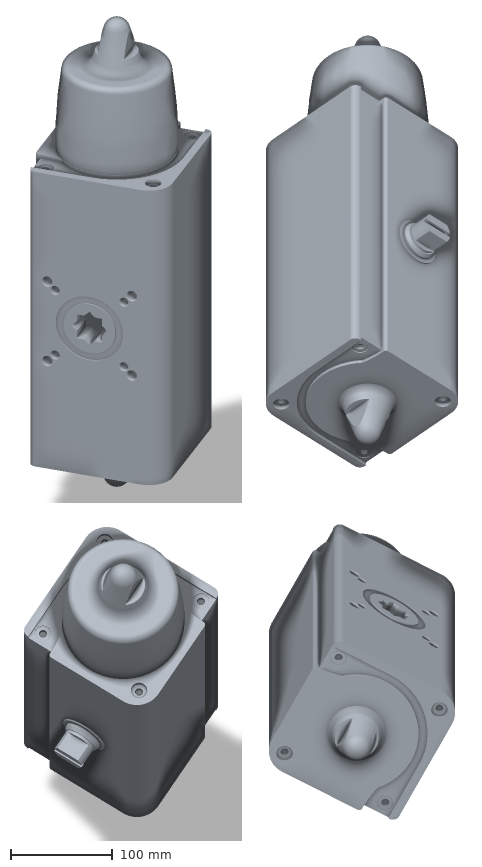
import cadquery as cq
import math


block_half_height = 163.5
near_side = 70.0
far_side = 78.0
large_corner_radius = 25.0
small_corner_radius = 7.5
step_depth = 6.0
step_start = 42.0
step_edge_radius = 3.0
step_face = near_side - step_depth

pocket_depth = 3.5
pocket_reach = 69.5
plinth_radius = 61.0
pocket_bend_x = 52.0
pocket_bend_y = 43.0
plinth_meet_x = 40.5
plinth_meet_y = math.sqrt(plinth_radius**2 - plinth_meet_x**2)

dome_base_radius = 60.5
dome_middle_radius = 59.0
dome_shoulder_radius = 54.5
dome_height = 92.0
dome_edge_height = 6.0
dome_flat_radius = 48.0
dome_top = block_half_height + dome_height

knob_height = 51.0
flare_height = 8.0
cone_base_radius = 24.0
cone_tip_radius = 12.5
cone_tip_height = 42.0
flat_start_height = 15.0
flat_half_width = 13.5
top_knob_base = dome_top
bottom_knob_base = -162.0

block_center = (far_side - near_side) / 2
screw_half_pitch = 56.0
screw_recess_diameter = 16.0
screw_recess_depth = 4.5
screw_socket_diameter = 8.0
screw_socket_depth = 5.0

outer_hole_diameter = 10.0
outer_hole_offset = 44.0
inner_hole_diameter = 8.5
inner_hole_offset = 36.0
mounting_hole_depth = 15.5
mounting_hole_chamfer = 0.8

shaft_diameter = 54.0
shaft_recess_diameter = 70.0
shaft_recess_depth = 1.5
collar_diameter = 48.0
collar_height = 1.5
rear_wall = 15.5
boss_diameter = 39.0
boss_end = 4.0
cone_end = 8.0
flats_start = 11.0
cone_end_diameter = 35.0
stub_diameter = 32.0
stub_length = 30.0
stub_flat_width = 22.0
stub_slot_width = 4.5
stub_slot_depth = 4.0
star_square = 26.5
star_depth = 26.0


def cylinder_along_y(diameter, start, end):
    """Cylinder on the shaft axis between two Y positions."""
    return cq.Workplane("XZ", origin=(0, start, 0)).circle(diameter / 2).extrude(start - end)


def make_block():
    """Block section with two large corners, two small ones and two set-back steps."""
    block = (
        cq.Workplane("XY", origin=(0, 0, -block_half_height))
        .moveTo(-near_side, near_side)
        .lineTo(step_start, near_side)
        .lineTo(step_start, step_face)
        .lineTo(far_side, step_face)
        .lineTo(far_side, -far_side)
        .lineTo(-step_face, -far_side)
        .lineTo(-step_face, -step_start)
        .lineTo(-near_side, -step_start)
        .close()
        .extrude(2 * block_half_height)
    )
    corner_groups = [
        (large_corner_radius, [(-near_side, near_side), (far_side, -far_side)]),
        (small_corner_radius, [(far_side, step_face), (-step_face, -far_side)]),
        (step_edge_radius, [(step_start, near_side), (-near_side, -step_start)]),
    ]
    for radius, corners in corner_groups:
        for x, y in corners:
            block = block.edges(cq.selectors.NearestToPointSelector((x, y, 0))).fillet(radius)
    return block


def make_end_pocket(floor_z):
    """Pocket running between the two steps, around the plinth of the dome."""
    plinth_corner = plinth_radius / math.sqrt(2)
    reach_corner = pocket_reach / math.sqrt(2)
    return (
        cq.Workplane("XY", origin=(0, 0, floor_z))
        .moveTo(-step_face, -step_start)
        .threePointArc((-pocket_bend_x, -pocket_bend_y), (-plinth_meet_x, -plinth_meet_y))
        .threePointArc((plinth_corner, -plinth_corner), (plinth_meet_y, plinth_meet_x))
        .threePointArc((pocket_bend_y, pocket_bend_x), (step_start, step_face))
        .lineTo(pocket_reach, step_face)
        .lineTo(pocket_reach, 0)
        .threePointArc((reach_corner, -reach_corner), (0, -pocket_reach))
        .lineTo(-step_face, -pocket_reach)
        .close()
        .extrude(pocket_depth)
    )


def make_dome():
    """Tapered round spring housing with a rounded top edge."""
    edge_z = dome_height - dome_edge_height
    bulge = math.sqrt(0.5)
    edge_middle = (
        dome_flat_radius + bulge * (dome_shoulder_radius - dome_flat_radius),
        edge_z + bulge * dome_edge_height,
    )
    return (
        cq.Workplane("XZ", origin=(0, 0, block_half_height))
        .lineTo(dome_base_radius, 0)
        .threePointArc((dome_middle_radius, edge_z / 2), (dome_shoulder_radius, edge_z))
        .threePointArc(edge_middle, (dome_flat_radius, dome_height))
        .lineTo(0, dome_height)
        .close()
        .revolve()
    )


def make_knob():
    """Flared cone with a round tip and a flat on each X side, standing on z = 0."""
    cone_slope = math.atan2(cone_tip_height - flare_height, cone_base_radius - cone_tip_radius)
    flare_arc_radius = flare_height / (1 - math.cos(cone_slope))
    flare_radius = cone_base_radius + flare_arc_radius * math.sin(cone_slope)
    flare_middle = (
        flare_radius - flare_arc_radius * math.sin(cone_slope / 2),
        flare_arc_radius * (1 - math.cos(cone_slope / 2)),
    )
    tip_rise = knob_height - cone_tip_height
    tip_sphere = (cone_tip_radius**2 + tip_rise**2) / (2 * tip_rise)
    tip_angle = math.asin(cone_tip_radius / tip_sphere) / 2
    tip_middle = (
        tip_sphere * math.sin(tip_angle),
        knob_height - tip_sphere * (1 - math.cos(tip_angle)),
    )
    knob = (
        cq.Workplane("XZ")
        .lineTo(flare_radius, 0)
        .threePointArc(flare_middle, (cone_base_radius, flare_height))
        .lineTo(cone_tip_radius, cone_tip_height)
        .threePointArc(tip_middle, (0, knob_height))
        .close()
        .revolve()
    )
    flat_height = knob_height - flat_start_height
    for side in (-1, 1):
        flat_cut = cq.Workplane("XY").box(
            flare_radius, 2 * flare_radius, flat_height, centered=(True, True, False)
        )
        cut_x = side * (flat_half_width + flare_radius / 2)
        knob = knob.cut(flat_cut.translate((cut_x, 0, flat_start_height)))
    return knob


def make_screw_recesses():
    """Stepped recesses at the four corners of both block ends."""
    cutters = []
    for end in (-1, 1):
        for i in (-1, 1):
            for j in (-1, 1):
                x = block_center + i * screw_half_pitch
                y = -block_center + j * screw_half_pitch
                face = cq.Workplane("XY", origin=(x, y, end * block_half_height))
                recess = face.circle(screw_recess_diameter / 2).extrude(-end * screw_recess_depth)
                socket = face.circle(screw_socket_diameter / 2).extrude(
                    -end * (screw_recess_depth + screw_socket_depth)
                )
                cutters.append(recess.union(socket))
    return cutters


def make_mounting_holes():
    """Two square patterns of chamfered blind holes around the shaft on the -Y side."""
    cutters = []
    for diameter, offset in (
        (outer_hole_diameter, outer_hole_offset),
        (inner_hole_diameter, inner_hole_offset),
    ):
        for x in (-offset, offset):
            for z in (-offset, offset):
                mouth = cq.Workplane("XZ", origin=(x, -far_side, z))
                hole = mouth.circle(diameter / 2).extrude(-mounting_hole_depth)
                chamfer = (
                    mouth.circle(diameter / 2 + mounting_hole_chamfer)
                    .workplane(offset=-mounting_hole_chamfer)
                    .circle(diameter / 2)
                    .loft(ruled=True)
                )
                cutters.append(hole.union(chamfer))
    return cutters


def make_shaft_bore():
    """Stepped bore for the shaft, with a shallow ring recess around its front end."""
    ring = cylinder_along_y(shaft_recess_diameter, -far_side, -far_side + shaft_recess_depth)
    main_bore = cylinder_along_y(shaft_diameter, -far_side, near_side - rear_wall)
    rear_bore = cylinder_along_y(collar_diameter, near_side - rear_wall, near_side)
    return ring.union(main_bore).union(rear_bore)


def make_housing():
    housing = make_block()
    housing = housing.cut(make_end_pocket(block_half_height - pocket_depth))
    housing = housing.cut(make_end_pocket(-block_half_height))
    housing = housing.union(make_dome())
    knob = make_knob()
    housing = housing.union(knob.translate((0, 0, top_knob_base)))
    bottom_knob = knob.rotate((0, 0, 0), (0, 1, 0), 180)
    housing = housing.union(bottom_knob.translate((0, 0, bottom_knob_base)))
    for cutter in make_screw_recesses() + make_mounting_holes():
        housing = housing.cut(cutter)
    return housing.cut(make_shaft_bore())


def make_stub():
    """Rear shaft end with a flat above and below and a slot across its end."""
    stub_end = near_side + stub_length
    round_part = cylinder_along_y(stub_diameter, near_side, near_side + flats_start)
    flat_part = cylinder_along_y(stub_diameter, near_side, stub_end).intersect(
        cq.Workplane("XY").box(stub_diameter, 2 * stub_end, stub_flat_width)
    )
    slot = cq.Workplane("XY").box(stub_diameter, 2 * stub_slot_depth, stub_slot_width)
    return round_part.union(flat_part).cut(slot.translate((0, stub_end, 0)))


def make_star_socket():
    """Eight-pointed socket: two equal squares turned 45 degrees to each other."""
    square = cq.Workplane("XZ", origin=(0, -far_side, 0)).rect(star_square, star_square)
    upright = square.extrude(-star_depth)
    return upright.union(upright.rotate((0, 0, 0), (0, 1, 0), 45))


def make_shaft():
    main = cylinder_along_y(shaft_diameter, -far_side, near_side - rear_wall)
    collar = cylinder_along_y(collar_diameter, near_side - rear_wall, near_side + collar_height)
    boss = cylinder_along_y(boss_diameter, near_side, near_side + boss_end)
    cone = (
        cq.Workplane("XZ", origin=(0, near_side + boss_end, 0))
        .circle(boss_diameter / 2)
        .workplane(offset=boss_end - cone_end)
        .circle(cone_end_diameter / 2)
        .loft(ruled=True)
    )
    shaft = main.union(collar).union(boss).union(cone).union(make_stub())
    return shaft.cut(make_star_socket())


housing = make_housing()
shaft = make_shaft()

result = cq.Compound.makeCompound([housing.val(), shaft.val()])